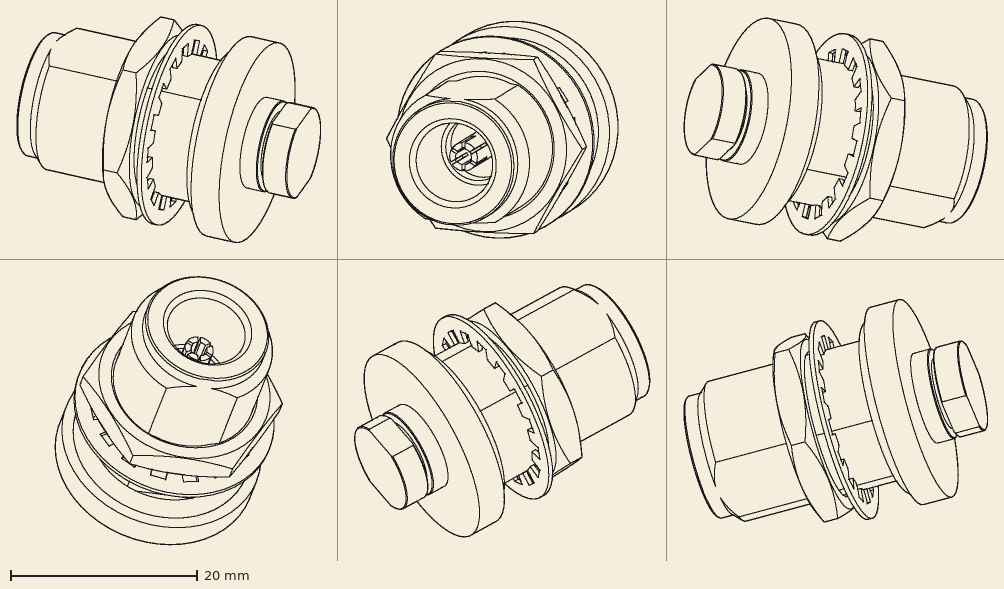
import cadquery as cq
import math


BARREL_RADIUS = 7.8
NOSE_RADIUS = 6.8
NOSE_CHAMFER = 0.2
NOSE_END = 1.65
TAPER_END = 2.7
FLAT_HEIGHT = 6.75

FLANGE_RADIUS = 11.0
FLANGE_FRONT = 21.95
FLANGE_BACK = 25.2
HUB_RADIUS = 5.0
HUB_BACK = 27.2
HUB_CHAMFER = 0.1
NECK_RADIUS = 3.9
NECK_BACK = 27.75
TAIL_RADIUS = 5.0
TAIL_CHAMFER = 0.1
TAIL_FLAT_HEIGHT = 4.475
TOTAL_LENGTH = 30.6

SOCKET_MOUTH_RADIUS = 4.88
SOCKET_CHAMFER = 0.6
SOCKET_FRONT_RADIUS = 4.3
SOCKET_SHOULDER_RADIUS = 4.0
SOCKET_SHOULDER = 9.0
WELL_RADIUS = 3.5
WELL_FLOOR = 11.0

CONTACT_RADIUS = 1.55
CONTACT_TIP = 4.0
CONTACT_BACK = 15.0
CONTACT_BORE_RADIUS = 0.88
CONTACT_BORE_DEPTH = 5.0
DRILL_POINT_ANGLE = 118.0
CONTACT_SLOT_COUNT = 6
CONTACT_SLOT_WIDTH = 0.3
CONTACT_SLOT_DEPTH = 4.0

NUT_SIDES = 6
NUT_ACROSS_FLATS = 19.05
NUT_FRONT = 11.05
NUT_THICKNESS = 3.12
NUT_BORE_RADIUS = 7.4
NUT_BORE_MOUTH_RADIUS = 8.07
NUT_FACE_RADIUS = 9.45
NUT_CHAMFER_ANGLE = 27.0

WASHER_RADIUS = 11.0
WASHER_FRONT = 15.68
WASHER_THICKNESS = 0.5
WASHER_BORE_RADIUS = 7.8
WASHER_NOTCH_RADIUS = 9.3
WASHER_NOTCH_COUNT = 16
WASHER_NOTCH_ANGLE = 10.5

SEAL_SECTION_RADIUS = 1.0
SEAL_FRONT = 20.66


def revolve_about_x(profile):
    """Revolve a closed (x, radius) profile, drawn in the XY plane, about the X axis."""
    return profile.close().revolve(360, (0, 0, 0), (1, 0, 0))


def cylinder(radius, x_start, x_end):
    return cq.Workplane("YZ", origin=(x_start, 0, 0)).circle(radius).extrude(x_end - x_start)


def flatted_slab(x_start, x_end, half_height):
    """Block that trims a round bar down to two flats facing +Z and -Z."""
    return (
        cq.Workplane("YZ", origin=(x_start, 0, 0))
        .rect(2 * FLANGE_RADIUS, 2 * half_height)
        .extrude(x_end - x_start)
    )


def make_barrel():
    outline = (
        cq.Workplane("XY")
        .moveTo(0, 0)
        .lineTo(0, NOSE_RADIUS - NOSE_CHAMFER)
        .lineTo(NOSE_CHAMFER, NOSE_RADIUS)
        .lineTo(NOSE_END, NOSE_RADIUS)
        .lineTo(TAPER_END, BARREL_RADIUS)
        .lineTo(FLANGE_FRONT, BARREL_RADIUS)
        .lineTo(FLANGE_FRONT, 0)
    )
    return revolve_about_x(outline).intersect(flatted_slab(0, FLANGE_FRONT, FLAT_HEIGHT))


def make_rear_end():
    flange = cylinder(FLANGE_RADIUS, FLANGE_FRONT, FLANGE_BACK)
    hub = cylinder(HUB_RADIUS, FLANGE_BACK, HUB_BACK).faces(">X").chamfer(HUB_CHAMFER)
    neck = cylinder(NECK_RADIUS, HUB_BACK, NECK_BACK)
    tail = cylinder(TAIL_RADIUS, NECK_BACK, TOTAL_LENGTH).faces("<X or >X").chamfer(TAIL_CHAMFER)
    tail = tail.intersect(flatted_slab(NECK_BACK, TOTAL_LENGTH, TAIL_FLAT_HEIGHT))
    return flange.union(hub).union(neck).union(tail)


def make_socket():
    """Stepped cavity: chamfered mouth, tapered bore, shoulder and well."""
    return revolve_about_x(
        cq.Workplane("XY")
        .moveTo(0, 0)
        .lineTo(0, SOCKET_MOUTH_RADIUS)
        .lineTo(SOCKET_CHAMFER, SOCKET_FRONT_RADIUS)
        .lineTo(SOCKET_SHOULDER, SOCKET_SHOULDER_RADIUS)
        .lineTo(SOCKET_SHOULDER, WELL_RADIUS)
        .lineTo(WELL_FLOOR, WELL_RADIUS)
        .lineTo(WELL_FLOOR, 0)
    )


def make_housing(barrel, seal):
    contact_hole = cylinder(CONTACT_RADIUS, WELL_FLOOR, CONTACT_BACK)
    return barrel.union(make_rear_end()).cut(make_socket()).cut(contact_hole).cut(seal)


def make_contact():
    """Slotted socket pin, seated in the floor of the well."""
    bore_floor = CONTACT_TIP + CONTACT_BORE_DEPTH
    point_depth = CONTACT_BORE_RADIUS / math.tan(math.radians(DRILL_POINT_ANGLE / 2))
    pin = revolve_about_x(
        cq.Workplane("XY")
        .moveTo(CONTACT_TIP, CONTACT_BORE_RADIUS)
        .lineTo(CONTACT_TIP, CONTACT_RADIUS)
        .lineTo(CONTACT_BACK, CONTACT_RADIUS)
        .lineTo(CONTACT_BACK, 0)
        .lineTo(bore_floor + point_depth, 0)
        .lineTo(bore_floor, CONTACT_BORE_RADIUS)
    )
    for index in range(CONTACT_SLOT_COUNT // 2):
        slot = (
            cq.Workplane("YZ", origin=(CONTACT_TIP, 0, 0))
            .rect(CONTACT_SLOT_WIDTH, 2 * CONTACT_RADIUS + CONTACT_SLOT_WIDTH)
            .extrude(CONTACT_SLOT_DEPTH)
            .rotate((0, 0, 0), (1, 0, 0), index * 360 / CONTACT_SLOT_COUNT)
        )
        pin = pin.cut(slot)
    return pin


def make_nut(barrel):
    nut_back = NUT_FRONT + NUT_THICKNESS
    corner_radius = NUT_ACROSS_FLATS / 2 / math.cos(math.pi / NUT_SIDES)
    corner_drop = (corner_radius - NUT_FACE_RADIUS) * math.tan(math.radians(NUT_CHAMFER_ANGLE))
    bore_drop = NUT_BORE_MOUTH_RADIUS - NUT_BORE_RADIUS
    prism = (
        cq.Workplane("YZ", origin=(NUT_FRONT, 0, 0))
        .polygon(NUT_SIDES, 2 * corner_radius)
        .extrude(NUT_THICKNESS)
    )
    turned = revolve_about_x(
        cq.Workplane("XY")
        .moveTo(NUT_FRONT, NUT_BORE_MOUTH_RADIUS)
        .lineTo(NUT_FRONT, NUT_FACE_RADIUS)
        .lineTo(NUT_FRONT + corner_drop, corner_radius)
        .lineTo(nut_back - corner_drop, corner_radius)
        .lineTo(nut_back, NUT_FACE_RADIUS)
        .lineTo(nut_back, NUT_BORE_MOUTH_RADIUS)
        .lineTo(nut_back - bore_drop, NUT_BORE_RADIUS)
        .lineTo(NUT_FRONT + bore_drop, NUT_BORE_RADIUS)
    )
    return prism.intersect(turned).cut(barrel)


def make_washer():
    washer = cylinder(WASHER_RADIUS, WASHER_FRONT, WASHER_FRONT + WASHER_THICKNESS)
    bore = cylinder(WASHER_BORE_RADIUS, WASHER_FRONT, WASHER_FRONT + WASHER_THICKNESS)
    washer = washer.cut(bore)
    pitch = 360 / WASHER_NOTCH_COUNT
    notch_width = 2 * WASHER_NOTCH_RADIUS * math.sin(math.radians(WASHER_NOTCH_ANGLE / 2))
    for index in range(WASHER_NOTCH_COUNT):
        notch = (
            cq.Workplane("YZ", origin=(WASHER_FRONT, 0, 0))
            .center(WASHER_NOTCH_RADIUS / 2, 0)
            .rect(WASHER_NOTCH_RADIUS, notch_width)
            .extrude(WASHER_THICKNESS)
            .rotate((0, 0, 0), (1, 0, 0), (index + 0.5) * pitch)
        )
        washer = washer.cut(notch)
    return washer


def make_seal():
    section_x = SEAL_FRONT + SEAL_SECTION_RADIUS
    ring_radius = BARREL_RADIUS + SEAL_SECTION_RADIUS
    section = cq.Workplane("XY").center(section_x, ring_radius).circle(SEAL_SECTION_RADIUS)
    return section.revolve(360, (-section_x, -ring_radius, 0), (1 - section_x, -ring_radius, 0))


barrel = make_barrel()
seal = make_seal()
housing = make_housing(barrel, seal)
contact = make_contact()
nut = make_nut(barrel)
washer = make_washer()

result = cq.Compound.makeCompound(
    [housing.val(), contact.val(), nut.val(), washer.val(), seal.val()]
)